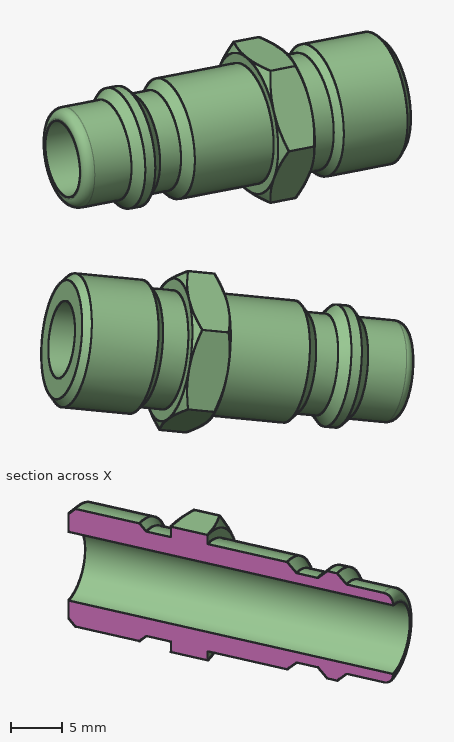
import cadquery as cq
import math

total_length = 35.0
collar_start = 5.0
collar_end = 8.12
groove_end = 10.4
hex_start = 20.0
hex_thickness = 4.0
thread_start = 26.6
shoulder_step = 1.0
thread_chamfer = 0.75

tip_diameter = 10.0
body_diameter = 12.0
thread_diameter = 13.15
bore_diameter = 7.6
hex_across_flats = 14.0
hex_chamfer_angle = 30.0
tip_round = 1.0

tip_radius = tip_diameter / 2
body_radius = body_diameter / 2
thread_radius = thread_diameter / 2
neck_radius = thread_radius - thread_chamfer
hex_end = hex_start + hex_thickness


def revolve_profile(points):
    """Revolve a closed (radius, station) outline about the Y axis."""
    return cq.Workplane("XY").polyline(points).close().revolve(360, (0, 0, 0), (0, 1, 0))


def make_body():
    """Turned plug, collar, neck and thread as one stepped shaft."""
    shaft = revolve_profile([
        (0, 0),
        (tip_radius, 0),
        (tip_radius, collar_start),
        (body_radius, collar_start + shoulder_step),
        (body_radius, collar_end - shoulder_step),
        (tip_radius, collar_end),
        (tip_radius, groove_end),
        (body_radius, groove_end + shoulder_step),
        (body_radius, hex_start),
        (neck_radius, hex_start),
        (neck_radius, thread_start),
        (thread_radius, thread_start + thread_chamfer),
        (thread_radius, total_length - thread_chamfer),
        (neck_radius, total_length),
        (0, total_length),
    ])
    return shaft.faces("<Y").edges().fillet(tip_round)


def make_hex():
    """Hexagon with corners on X, its corners chamfered conically at both ends."""
    flat_radius = hex_across_flats / 2
    corner_radius = flat_radius / math.cos(math.radians(30))
    chamfer_drop = (corner_radius - flat_radius) * math.tan(math.radians(hex_chamfer_angle))
    prism = (
        cq.Workplane("XZ", origin=(0, hex_end, 0))
        .polygon(6, 2 * corner_radius)
        .extrude(hex_thickness)
    )
    envelope = revolve_profile([
        (0, hex_start),
        (flat_radius, hex_start),
        (corner_radius, hex_start + chamfer_drop),
        (corner_radius, hex_end - chamfer_drop),
        (flat_radius, hex_end),
        (0, hex_end),
    ])
    return prism.intersect(envelope)


def make_bore():
    """Straight bore through the whole length."""
    return cq.Workplane("XZ").circle(bore_diameter / 2).extrude(-total_length)


fitting = make_body().union(make_hex()).cut(make_bore())

result = fitting.translate((0, -total_length / 2, 0))